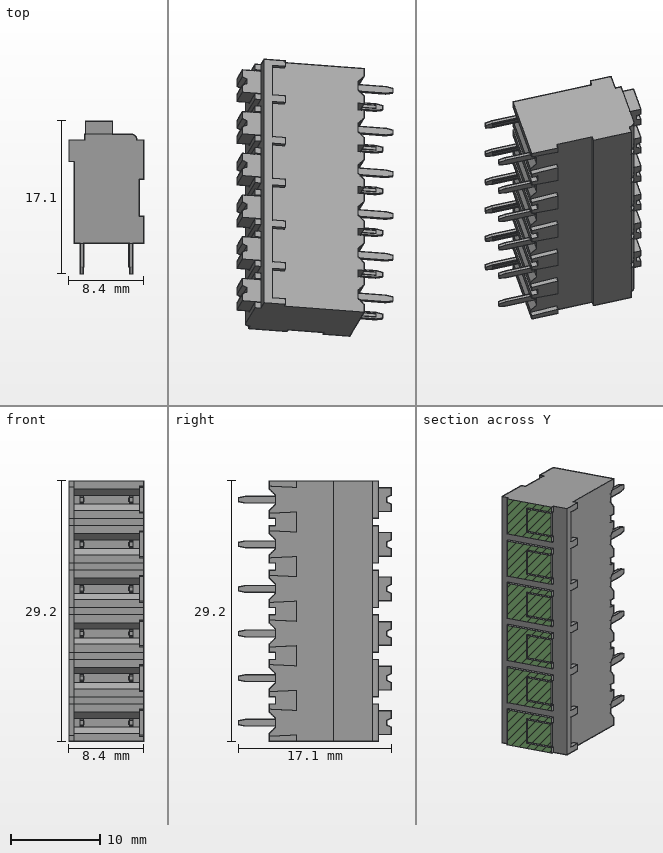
import cadquery as cq
import math


total_height = 29.2
pole_count = 6
pole_height = 4.2
pole_pitch = (total_height - pole_height) / (pole_count - 1)
gap_height = pole_pitch - pole_height
pole_centers = [pole_height / 2 + i * pole_pitch for i in range(pole_count)]
gap_centers = [z + pole_pitch / 2 for z in pole_centers[:-1]]

width = 8.4
flange_depth = 0.58
foot_depth = 0.53
side_x = width - foot_depth
top_y = 11.6
foot_top_y = 3.07
shoulder_y = 7.18
flange_y = 10.63
flange_bar_y = 9.17
flange_end_bar = 0.67

groove_depth = 0.7
groove_half_floor = 0.5
groove_half_mouth = groove_half_floor + groove_depth
window_half_mouth = 1.52
window_half_inner = 1.37

pad_start_x = 1.75
pad_end_x = 7.62
pad_height = 0.67

lever_start_x = 1.85
lever_end_x = 4.9
lever_height = 2.7
lever_tip_y = 13.7
lever_clearance = 0.1
notch_depth = 0.5
notch_half_mouth = 0.5
notch_half_floor = 0.25

pin_outer_span = 5.93
pin_outer_x = (width - pin_outer_span) / 2
pin_thickness = 0.38
pin_height = 0.8
pin_tip_y = -3.45
pin_taper = 0.8
pin_tip_height = 0.47
pin_rib_depth = 0.1
pin_rib_height = 0.38


def box(x_range, y_range, z_range):
    """Axis-aligned box between the given limits."""
    size = [end - start for start, end in (x_range, y_range, z_range)]
    corner = (x_range[0], y_range[0], z_range[0])
    return cq.Workplane("XY").box(*size, centered=False).translate(corner)


def around(center, height):
    """Limits of a span of the given height centred on a point."""
    return (center - height / 2, center + height / 2)


def extrude_along_x(points, x_start, x_end):
    """Closed (y, z) outline extruded between two X positions."""
    return cq.Workplane("YZ", origin=(x_start, 0, 0)).polyline(points).close().extrude(x_end - x_start)


def trapezoid(z, half_mouth, half_floor, depth):
    """(y, z) outline that narrows from the pin-side face down to the given depth."""
    return [
        (0, z - half_mouth),
        (depth, z - half_floor),
        (depth, z + half_floor),
        (0, z + half_mouth),
    ]


def make_housing():
    """Main body with its foot and shoulder on +X and the flange on -X."""
    outline = [
        (flange_depth, 0),
        (width, 0),
        (width, foot_top_y),
        (side_x, foot_top_y),
        (side_x, shoulder_y),
        (width, shoulder_y),
        (width, top_y),
        (flange_depth, top_y),
    ]
    body = cq.Workplane("XY").polyline(outline).close().extrude(total_height)
    body = body.union(box((0, flange_depth), (flange_y, top_y), (0, total_height)))

    bar_spans = [around(z, gap_height) for z in gap_centers]
    bar_spans += [(0, flange_end_bar), (total_height - flange_end_bar, total_height)]
    for span in bar_spans:
        body = body.union(box((0, flange_depth), (flange_bar_y, top_y), span))
    return body


def make_gap_slot(z):
    """Square slot separating two neighbouring poles on the pin side."""
    return box((0, width), (0, groove_depth), around(z, gap_height))


def make_pin_groove(z):
    """Flared groove around the pins, with the tapered window through the foot beside it."""
    groove = trapezoid(z, groove_half_mouth, groove_half_floor, groove_depth)
    window = trapezoid(z, window_half_mouth, window_half_inner, foot_top_y)
    return extrude_along_x(groove, 0, width).union(extrude_along_x(window, side_x, width))


def make_pad(z):
    """Raised pad with a rounded +X edge and a recess for the lever."""
    arc_center_x = pad_end_x - pad_height
    arc_middle = pad_height * math.sqrt(0.5)
    pad = (
        cq.Workplane("XY", origin=(0, 0, z - pole_height / 2))
        .moveTo(pad_start_x, top_y)
        .lineTo(pad_start_x, top_y + pad_height)
        .lineTo(arc_center_x, top_y + pad_height)
        .threePointArc((arc_center_x + arc_middle, top_y + arc_middle), (pad_end_x, top_y))
        .close()
        .extrude(pole_height)
    )
    recess = box(
        (pad_start_x, lever_end_x + lever_clearance),
        (top_y, top_y + pad_height),
        around(z, lever_height + 2 * lever_clearance),
    )
    return pad.cut(recess)


def make_lever(z):
    """Push lever with a flared notch across its end."""
    bottom, top = around(z, lever_height)
    outline = [
        (top_y, bottom),
        (lever_tip_y, bottom),
        (lever_tip_y, z - notch_half_mouth),
        (lever_tip_y - notch_depth, z - notch_half_floor),
        (lever_tip_y - notch_depth, z + notch_half_floor),
        (lever_tip_y, z + notch_half_mouth),
        (lever_tip_y, top),
        (top_y, top),
    ]
    return extrude_along_x(outline, lever_start_x, lever_end_x)


def make_pin_pair(z):
    """Two mirrored flat pins with tapered tips and a shallow rib on the inner faces."""
    taper_y = pin_tip_y + pin_taper
    bottom, top = around(z, pin_height)
    tip_bottom, tip_top = around(z, pin_tip_height)
    outline = [
        (groove_depth, bottom),
        (taper_y, bottom),
        (pin_tip_y, tip_bottom),
        (pin_tip_y, tip_top),
        (taper_y, top),
        (groove_depth, top),
    ]
    inner_x = pin_outer_x + pin_thickness
    pin = extrude_along_x(outline, pin_outer_x, inner_x)
    rib = box((inner_x, inner_x + pin_rib_depth), (taper_y, groove_depth), around(z, pin_rib_height))
    pin = pin.union(rib)
    return pin.union(pin.mirror("YZ", (width / 2, 0, 0)))


result = make_housing()
for gap_center in gap_centers:
    result = result.cut(make_gap_slot(gap_center))
for pole_center in pole_centers:
    result = result.cut(make_pin_groove(pole_center))
for pole_center in pole_centers:
    result = result.union(make_pad(pole_center))
    result = result.union(make_lever(pole_center))
    result = result.union(make_pin_pair(pole_center))